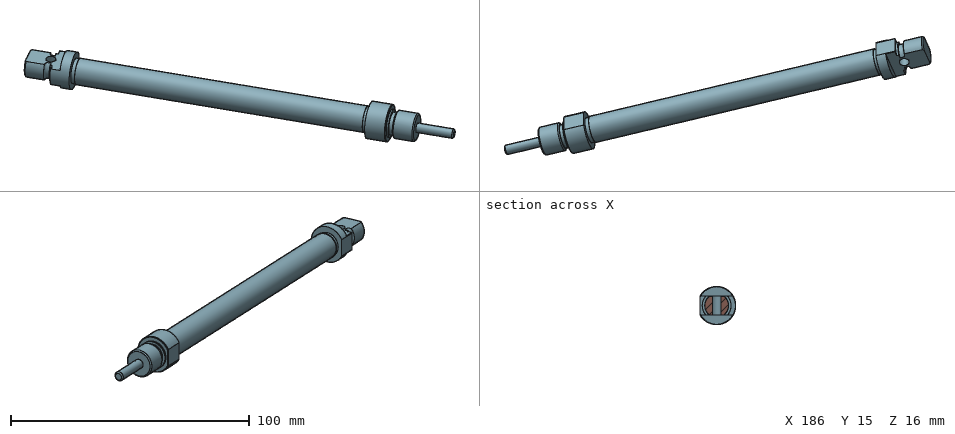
import cadquery as cq

LENGTH = 186.0
REAR_GROOVE_START = 8.5
CLEVIS_HOLE_X = 10.0
REAR_COLLAR_START = 11.0
REAR_FLANGE_START = 11.9
FLATS_END = 16.0
REAR_FLANGE_END = 20.3
BARREL_START = 22.0
BARREL_END = 147.5
FRONT_FLANGE_START = 149.2
FRONT_FLANGE_END = 158.1
FRONT_COLLAR_END = 158.8
FRONT_GROOVE_END = 160.5
FRONT_CAP_END = 169.8

FLANGE_DIAMETER = 16.0
STUD_DIAMETER = 12.0
BARREL_DIAMETER = 11.3
NECK_DIAMETER = 10.8
GROOVE_DIAMETER = 9.9
ROD_DIAMETER = 4.0
CLEVIS_HOLE_DIAMETER = 4.0

CLEVIS_THICKNESS = 8.0
FLANGE_FLAT_Y = 7.0
STUD_CHAMFER = 0.5
FLANGE_CHAMFER = 0.28
ROD_CHAMFER = 0.5
GROOVE_FILLET = 1.0


def cylinder(start, end, diameter):
    """Cylinder on the X axis between two stations."""
    return cq.Workplane("YZ", origin=(start, 0, 0)).circle(diameter / 2).extrude(end - start)


def flange(start, end):
    """Round flange with one flat on its +Y side."""
    flat_cutter = cq.Workplane("XY").box(
        end - start, FLANGE_DIAMETER, FLANGE_DIAMETER, centered=(False, False, True)
    )
    return cylinder(start, end, FLANGE_DIAMETER).cut(flat_cutter.translate((start, FLANGE_FLAT_Y, 0)))


def make_rear_stud():
    """Rear stud, chamfered at its end, with a relief groove that is filleted against the stud."""
    stud = cylinder(0, REAR_GROOVE_START, STUD_DIAMETER)
    groove_floor = cylinder(REAR_GROOVE_START, REAR_COLLAR_START, GROOVE_DIAMETER)
    inner_corner = stud.union(groove_floor).edges(cq.selectors.RadiusNthSelector(0)).edges("<X")
    return inner_corner.fillet(GROOVE_FILLET).faces("<X").chamfer(STUD_CHAMFER)


def make_rear_cap():
    """Rear cap: flattened, cross-drilled stud, flange and a neck that meets the barrel."""
    body = (
        make_rear_stud()
        .union(cylinder(REAR_COLLAR_START, REAR_FLANGE_START, STUD_DIAMETER))
        .union(flange(REAR_FLANGE_START, REAR_FLANGE_END))
        .union(cylinder(REAR_FLANGE_END, BARREL_START, NECK_DIAMETER))
    )
    clevis_slab = cq.Workplane("XY").box(
        FLATS_END, FLANGE_DIAMETER, CLEVIS_THICKNESS, centered=(False, True, True)
    )
    flange_side = cylinder(FLATS_END, BARREL_START, FLANGE_DIAMETER)
    body = body.intersect(clevis_slab.union(flange_side))
    pivot_hole = (
        cq.Workplane("XY", origin=(CLEVIS_HOLE_X, 0, 0))
        .circle(CLEVIS_HOLE_DIAMETER / 2)
        .extrude(CLEVIS_THICKNESS, both=True)
    )
    return body.cut(pivot_hole)


def make_barrel():
    """Plain round barrel between the two caps."""
    return cylinder(BARREL_START, BARREL_END, BARREL_DIAMETER)


def make_front_cap():
    """Front cap: neck, flange, relief groove and chamfered mounting stud."""
    front_flange = flange(FRONT_FLANGE_START, FRONT_FLANGE_END).faces(">X").chamfer(FLANGE_CHAMFER)
    stud = cylinder(FRONT_GROOVE_END, FRONT_CAP_END, STUD_DIAMETER).edges().chamfer(STUD_CHAMFER)
    return (
        cylinder(BARREL_END, FRONT_FLANGE_START, NECK_DIAMETER)
        .union(front_flange)
        .union(cylinder(FRONT_FLANGE_END, FRONT_COLLAR_END, STUD_DIAMETER))
        .union(cylinder(FRONT_COLLAR_END, FRONT_GROOVE_END, GROOVE_DIAMETER))
        .union(stud)
    )


def make_rod():
    """Piston rod standing on the front cap, with a chamfered tip."""
    return cylinder(FRONT_CAP_END, LENGTH, ROD_DIAMETER).faces(">X").chamfer(ROD_CHAMFER)


rear_cap = make_rear_cap()
barrel = make_barrel()
front_cap = make_front_cap()
rod = make_rod()

result = cq.Compound.makeCompound([rear_cap.val(), barrel.val(), front_cap.val(), rod.val()])